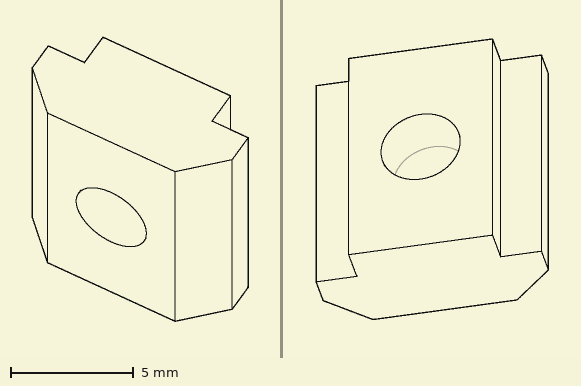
import cadquery as cq

length = 10.0
flange_width = 9.4
neck_width = 6.0
total_depth = 4.5
neck_depth = 1.5
hole_diameter = 3.3

bevel = (flange_width - neck_width) / 2
half_flange = flange_width / 2
half_neck = neck_width / 2
front = -total_depth / 2
back = total_depth / 2
shoulder = back - neck_depth

profile = [
    (-half_neck, front),
    (half_neck, front),
    (half_flange, front + bevel),
    (half_flange, shoulder),
    (half_neck, shoulder),
    (half_neck, back),
    (-half_neck, back),
    (-half_neck, shoulder),
    (-half_flange, shoulder),
    (-half_flange, front + bevel),
]
body = cq.Workplane("XY").polyline(profile).close().extrude(length / 2, both=True)

hole = cq.Workplane("XZ").circle(hole_diameter / 2).extrude(total_depth, both=True)

result = body.cut(hole)